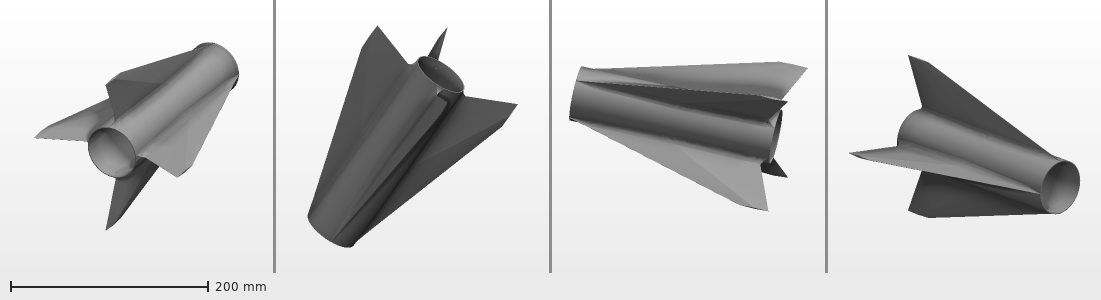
import cadquery as cq
import math

LENGTH = 221.5
TUBE_LENGTH = 208.6
TUBE_RADIUS = 28.1
TUBE_WALL = 0.9

SPAN = 168.1
TIP_RADIUS = SPAN / 2
ROOT_RADIUS = 34.3
TIP_LEAD = 191.4
TIP_TRAIL = LENGTH
ROOT_TRAIL = 201.0
ROOT_THICKNESS = 4.9
TIP_THICKNESS = 2.5
EDGE_THICKNESS = 0.2
FIN_COUNT = 4

ROOT_LEAD = TIP_LEAD * (ROOT_RADIUS - TUBE_RADIUS) / (TIP_RADIUS - TUBE_RADIUS)
ROOT_MID = (ROOT_LEAD + ROOT_TRAIL) / 2

NOSE_HEIGHT = 0.5
FILLET_TOP_LEAD = 33.0
FILLET_TOP_AFT = 33.9
ROOT_SINK = 2.2
NOTCH_RADIUS = TUBE_LENGTH - ROOT_TRAIL

HOLE_DIAMETER = 1.3
HOLE_STATION = 200.0
HOLE_SLANT = 25.0
HOLE_LENGTH = 13.3


def y_at(station):
    """Y coordinate of a distance aft of the nose end."""
    return LENGTH / 2 - station


def tube_cylinder(radius):
    """Solid cylinder along the full tube length."""
    plane = cq.Plane(origin=(0, y_at(0), 0), xDir=(1, 0, 0), normal=(0, -1, 0))
    return cq.Workplane(plane).circle(radius).extrude(TUBE_LENGTH)


def blade_outline(radius, lead, trail, thickness):
    """Flat-edged diamond outline of the blade at one radius."""
    half = thickness / 2
    edge = EDGE_THICKNESS / 2
    mid = (lead + trail) / 2
    points = [(-edge, lead), (edge, lead), (half, mid), (edge, trail), (-edge, trail), (-half, mid)]
    return cq.Wire.makePolygon([cq.Vector(x, y_at(s), radius) for x, s in points], close=True)


def make_blade():
    """Tapering blade on the +Z side."""
    root = blade_outline(ROOT_RADIUS, ROOT_LEAD, ROOT_TRAIL, ROOT_THICKNESS)
    tip = blade_outline(TIP_RADIUS, TIP_LEAD, TIP_TRAIL, TIP_THICKNESS)
    return cq.Workplane(cq.Solid.makeLoft([root, tip], True))


def root_section(station, top, fillet_top, thickness):
    """Cross section of the root: flat sides above fillet arcs that are tangent to them and to the tube."""
    half = thickness / 2
    fillet = (fillet_top**2 - TUBE_RADIUS**2 + half**2) / (2 * (TUBE_RADIUS - half))
    angle = math.atan2(fillet_top, half + fillet)
    foot_x = TUBE_RADIUS * math.cos(angle)
    foot_z = TUBE_RADIUS * math.sin(angle)
    arc_x = half + fillet - fillet * math.cos(angle / 2)
    arc_z = fillet_top - fillet * math.sin(angle / 2)
    bottom = TUBE_RADIUS - ROOT_SINK
    plane = cq.Plane(origin=(0, y_at(station), 0), xDir=(1, 0, 0), normal=(0, -1, 0))
    section = (
        cq.Workplane(plane)
        .moveTo(-foot_x, bottom)
        .lineTo(-foot_x, foot_z)
        .threePointArc((-arc_x, arc_z), (-half, fillet_top))
        .lineTo(-half, top)
        .lineTo(half, top)
        .lineTo(half, fillet_top)
        .threePointArc((arc_x, arc_z), (foot_x, foot_z))
        .lineTo(foot_x, bottom)
        .close()
    )
    return section.wire().val()


def make_root():
    """Filleted fin root on the +Z side, resting on the tube."""
    sections = [
        root_section(0, TUBE_RADIUS + NOSE_HEIGHT, TUBE_RADIUS + NOSE_HEIGHT / 2, EDGE_THICKNESS),
        root_section(ROOT_LEAD, ROOT_RADIUS, FILLET_TOP_LEAD, EDGE_THICKNESS),
        root_section(ROOT_MID, ROOT_RADIUS, FILLET_TOP_AFT, ROOT_THICKNESS),
        root_section(ROOT_TRAIL, ROOT_RADIUS, FILLET_TOP_AFT, EDGE_THICKNESS),
        root_section(TUBE_LENGTH, ROOT_RADIUS, FILLET_TOP_AFT, EDGE_THICKNESS),
    ]
    root = cq.Workplane(cq.Solid.makeLoft(sections, True))
    notch = (
        cq.Workplane("YZ")
        .center(y_at(TUBE_LENGTH), TUBE_RADIUS + NOTCH_RADIUS)
        .circle(NOTCH_RADIUS)
        .extrude(TUBE_RADIUS, both=True)
    )
    return root.cut(notch).cut(tube_cylinder(TUBE_RADIUS))


def make_hole():
    """Cutter for the slanted hole of the fin on the +Z side."""
    slant = math.radians(HOLE_SLANT)
    start = cq.Vector(0, y_at(HOLE_STATION), TUBE_RADIUS - TUBE_WALL)
    direction = cq.Vector(-math.sin(slant), 0, math.cos(slant))
    below = start - direction * (HOLE_LENGTH / 2)
    return cq.Workplane(cq.Solid.makeCylinder(HOLE_DIAMETER / 2, HOLE_LENGTH, below, direction))


def turn(body, index):
    """Copy of a +Z body turned about the tube axis to one fin position."""
    return body.rotate((0, 0, 0), (0, 1, 0), index * 360 / FIN_COUNT)


hole = make_hole()

tube = tube_cylinder(TUBE_RADIUS).cut(tube_cylinder(TUBE_RADIUS - TUBE_WALL))
for index in range(FIN_COUNT):
    tube = tube.cut(turn(hole, index))

fin = make_root().union(make_blade()).cut(hole)
fins = [turn(fin, index).solids().val() for index in range(FIN_COUNT)]

result = cq.Compound.makeCompound([tube.solids().val(), *fins])